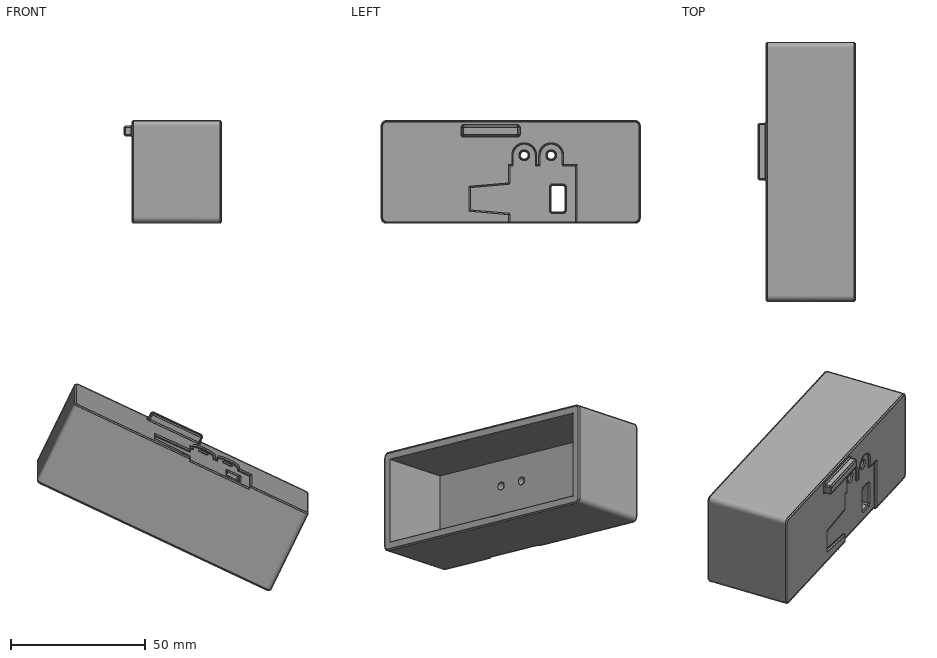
import cadquery as cq

LENGTH = 96.0
HEIGHT = 38.0
BODY_WIDTH = 33.0
RAIL_PROJECTION = 3.0
CORNER_RADIUS = 2.0
BEVEL = 0.5
WALL = 3.0
RECESSED_WALL = 3.9

RAIL_LENGTH = 21.0
RAIL_HEIGHT = 3.65
RAIL_Y = 7.5
RAIL_Z = 15.2

RECESS_DEPTH = 0.9
RECESS_LEFT_Y = 0.9
RECESS_RIGHT_Y = -24.6
RECESS_TOP_Z = 2.7
TAIL_END_Y = 15.5
TAIL_END_HALF_HEIGHT = 4.6
TAIL_ROOT_HALF_HEIGHT = 5.9
LOBE_RADIUS = 4.6

HOLE_Y = (-5.0, -15.0)
HOLE_Z = 6.1
HOLE_DIAMETER = 3.0

WINDOW_Y = -17.5
WINDOW_Z = -10.0
WINDOW_WIDTH = 5.3
WINDOW_HEIGHT = 10.0
WINDOW_CORNER_CUT = 0.6

OUTER_FACE_X = (RAIL_PROJECTION - BODY_WIDTH) / 2
RECESS_FACE_X = OUTER_FACE_X + RECESS_DEPTH


def side_plane(x):
    """Sketch plane at x with local axes along Y and Z; extrusions run to +X."""
    return cq.Workplane("YZ", origin=(x, 0, 0))


def make_body():
    """Bevelled box; the cavity leaves a thicker wall on the -X side."""
    body = side_plane(OUTER_FACE_X).rect(LENGTH, HEIGHT).extrude(BODY_WIDTH)
    body = body.edges("|X").fillet(CORNER_RADIUS)
    body = body.faces("<X or >X").chamfer(BEVEL)
    cavity = (
        side_plane(RECESS_FACE_X + RECESSED_WALL)
        .rect(LENGTH - 2 * WALL, HEIGHT - 2 * WALL)
        .extrude(BODY_WIDTH)
    )
    return body.cut(cavity)


def make_rail():
    """Bar with bevelled edges and a skirt that flares out onto the -X face."""
    outline = cq.Sketch().rect(RAIL_LENGTH, RAIL_HEIGHT).vertices().chamfer(BEVEL)
    bar = (
        side_plane(OUTER_FACE_X - RAIL_PROJECTION)
        .center(RAIL_Y, RAIL_Z)
        .placeSketch(outline)
        .extrude(RAIL_PROJECTION)
        .faces("<X")
        .chamfer(BEVEL)
    )
    skirt = (
        side_plane(OUTER_FACE_X - BEVEL)
        .center(RAIL_Y, RAIL_Z)
        .placeSketch(outline)
        .extrude(BEVEL, taper=-45)
    )
    return bar.union(skirt)


def make_recess():
    """Recess that runs out through the bottom, where its floor edge is bevelled too."""
    below_body_z = -HEIGHT
    outline = (
        side_plane(OUTER_FACE_X)
        .moveTo(RECESS_RIGHT_Y, below_body_z)
        .lineTo(RECESS_RIGHT_Y, RECESS_TOP_Z)
    )
    for y in sorted(HOLE_Y):
        outline = (
            outline.lineTo(y - LOBE_RADIUS, RECESS_TOP_Z)
            .lineTo(y - LOBE_RADIUS, HOLE_Z)
            .threePointArc((y, HOLE_Z + LOBE_RADIUS), (y + LOBE_RADIUS, HOLE_Z))
            .lineTo(y + LOBE_RADIUS, RECESS_TOP_Z)
        )
    outline = (
        outline.lineTo(RECESS_LEFT_Y, RECESS_TOP_Z)
        .lineTo(RECESS_LEFT_Y, WINDOW_Z + TAIL_ROOT_HALF_HEIGHT)
        .lineTo(TAIL_END_Y, WINDOW_Z + TAIL_END_HALF_HEIGHT)
        .lineTo(TAIL_END_Y, WINDOW_Z - TAIL_END_HALF_HEIGHT)
        .lineTo(RECESS_LEFT_Y, WINDOW_Z - TAIL_ROOT_HALF_HEIGHT)
        .lineTo(RECESS_LEFT_Y, below_body_z)
        .close()
    )
    rim = outline.extrude(BEVEL, taper=45)
    pocket = rim.faces(">X").wires().toPending().extrude(RECESS_DEPTH - BEVEL)
    bottom_edge = (
        cq.Workplane("XZ", origin=(0, RECESS_LEFT_Y - BEVEL, 0))
        .moveTo(RECESS_FACE_X, -HEIGHT / 2)
        .lineTo(RECESS_FACE_X, BEVEL - HEIGHT / 2)
        .lineTo(RECESS_FACE_X + BEVEL, -HEIGHT / 2)
        .close()
        .extrude(RECESS_LEFT_Y - RECESS_RIGHT_Y - 2 * BEVEL)
    )
    return pocket.union(bottom_edge)


def make_hole(y):
    """Hole through the recessed wall with a bevelled rim."""
    plane = side_plane(RECESS_FACE_X).center(y, HOLE_Z)
    shaft = plane.circle(HOLE_DIAMETER / 2).extrude(RECESSED_WALL)
    rim = plane.circle(HOLE_DIAMETER / 2 + BEVEL).extrude(BEVEL, taper=45)
    return shaft.union(rim)


def make_window():
    """Opening with cut corners; its bevelled rim narrows into the wall."""
    outline = (
        cq.Sketch()
        .rect(WINDOW_WIDTH, WINDOW_HEIGHT)
        .vertices()
        .chamfer(WINDOW_CORNER_CUT)
    )
    opening = (
        side_plane(RECESS_FACE_X)
        .center(WINDOW_Y, WINDOW_Z)
        .placeSketch(outline)
        .extrude(RECESSED_WALL)
    )
    rim = (
        side_plane(RECESS_FACE_X + BEVEL)
        .center(WINDOW_Y, WINDOW_Z)
        .placeSketch(outline)
        .extrude(-BEVEL, taper=-45)
    )
    return opening.union(rim)


result = make_body().union(make_rail()).cut(make_recess())
for hole_y in HOLE_Y:
    result = result.cut(make_hole(hole_y))
result = result.cut(make_window())